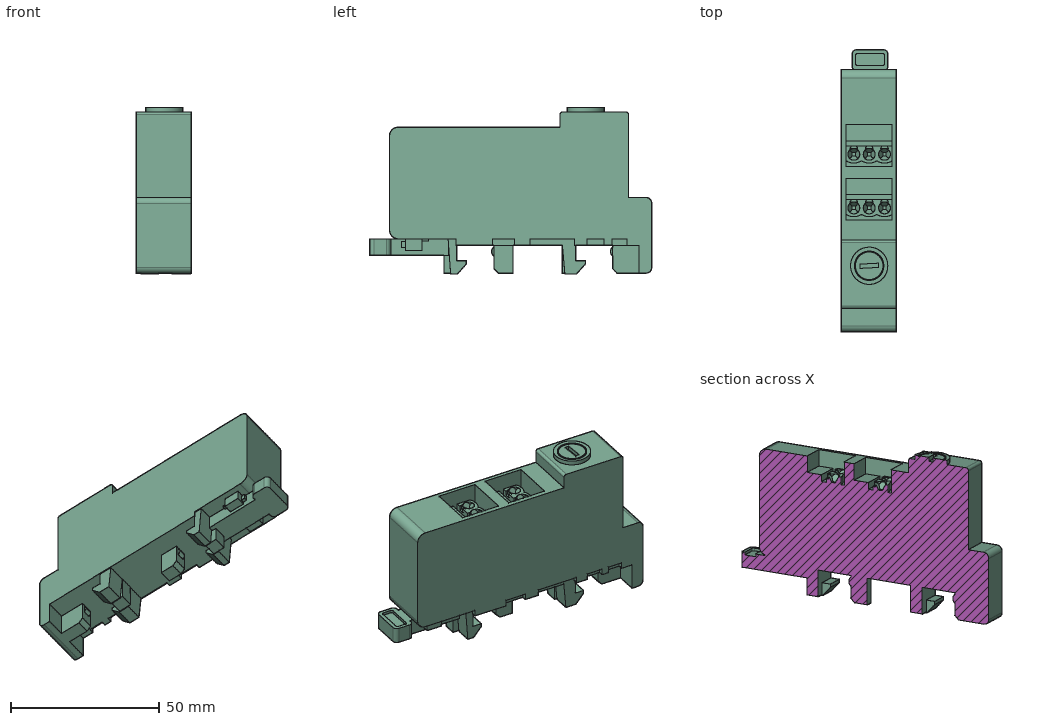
import cadquery as cq

WIDTH = 18.6
FRONT_Y = 7.8
STEP_Y = 31.0
BACK_Y = 88.5
FOOT_BOTTOM = 0.3
FOOT_THICKNESS = 4.3
FOOT_TOP = 25.9
RAIL_SEAT_Z = 9.7
RAIL_SEAT_BACK_Y = 66.1
TAIL_BOTTOM_Z = 11.9
TERMINAL_TOP = 49.6
FUSE_TOP = 54.7
BACK_RADIUS = 2.95
FOOT_RADIUS = 2.0
FUSE_RADIUS = 0.95

NOTCH_DEPTH = 1.6
NOTCH_SPANS = ((8.4, 13.5), (16.1, 21.9), (26.1, 41.1), (46.3, 53.8))

HOOK_INNER_X = 7.5
SUPPORT_END_X = 12.0
HOOK_END_X = 18.3
HOOK_SPANS = ((NOTCH_DEPTH, HOOK_INNER_X), (SUPPORT_END_X, HOOK_END_X))
HOOK_REACH = 3.2
HOOK_LEDGE_Z = 4.6
HOOK_NOSE_Z = 3.4
HOOK_LEAD_IN = 0.2
HOOK_BACK_TAPER = 0.9
REAR_HOOK_Y = 65.8
REAR_HOOK_THICKNESS = 2.1
FRONT_HOOK_Y = 25.6
FRONT_HOOK_THICKNESS = 3.7
REAR_STRIP_BACK_Y = 70.2
FRONT_STRIP_BACK_Y = 30.3
BLOCK_SPANS = ((FOOT_THICKNESS, 13.2), (46.8, 53.3))
BLOCK_CHAMFER = 1.5
BUMP_RADIUS = 1.9
BUMP_HEIGHT = 0.8
BUMP_Z = 7.6
BUMP_INSET = 0.95

LATCH_X = 9.7
LATCH_BOTTOM = 6.3
LATCH_BACK_Y = 95.2
LATCH_FRONT_Y = 68.5
HEAD_FRONT_Y = 88.1
HEAD_WIDTH = 12.1
HEAD_RADIUS = 1.5
ARM_WIDTH = 7.7
WINDOW_WIDTH = 9.8
WINDOW_SPAN_Y = (89.9, 93.9)
WINDOW_RADIUS = 0.6
WINDOW_DEPTH = 0.95
GUIDE_WIDTH = 13.8
GUIDE_SPAN_Y = (77.6, 83.1)
GUIDE_BOTTOM = 7.9
LUG_WIDTH = 10.0
REAR_LUG_END_Y = 84.4
REAR_LUG_SPAN_Z = (8.95, 11.0)
FRONT_LUG_END_Y = 75.3
FRONT_LUG_BOTTOM = 11.1

POCKET_X = 9.4
POCKET_WIDTH = 15.5
POCKET_LENGTH = 14.1
POCKET_BACK_YS = (51.8, 69.9)
LEDGE_Z = 43.8
LEDGE_LENGTH = 5.5
POCKET_FLOOR_Z = 41.4
SOCKET_TOP_Z = 44.1
SOCKET_BACK = 7.1
SOCKET_CUSP = 12.2
SCALLOP_SAG = 0.8
SOCKET_COUNT = 3
SOCKET_PITCH = POCKET_WIDTH / SOCKET_COUNT
FUNNEL_CENTER = 10.0
FUNNEL_RADIUS = 2.0
FUNNEL_BOTTOM_SIDE = 1.1
FUNNEL_DEPTH = 2.4
KEY_MOUTH_WIDTH = 1.7
KEY_INNER_WIDTH = 2.6
KEY_LENGTH = 0.9
KEY_DEPTH = 1.4

CAP_X = 9.4
CAP_Y = 22.3
CAP_RADIUS = 6.3
CAP_TOP = 56.3
GROOVE_OUTER_RADIUS = 4.95
GROOVE_WIDTH = 0.3
GROOVE_DEPTH = 0.3
SLOT_LENGTH = 6.3
SLOT_WIDTH = 1.4
SLOT_DEPTH = 1.4
SLOT_ANGLE = 3.0


def block(span_x, span_y, span_z):
    """Box filling the given X, Y and Z ranges."""
    (x0, x1), (y0, y1), (z0, z1) = span_x, span_y, span_z
    return cq.Workplane("XY").box(x1 - x0, y1 - y0, z1 - z0, centered=False).translate((x0, y0, z0))


def centered_span(center, size):
    return center - size / 2, center + size / 2


def side_profile(points, span_x):
    """Closed Y-Z outline extruded over an X range."""
    start_x, end_x = span_x
    return cq.Workplane("YZ", origin=(start_x, 0, 0)).polyline(points).close().extrude(end_x - start_x)


def round_edge(body, y, z, radius):
    """Fillet the edge running along X at the given Y and Z."""
    return body.edges(cq.selectors.NearestToPointSelector((WIDTH / 2, y, z))).fillet(radius)


def housing():
    body = side_profile(
        [
            (0, FOOT_BOTTOM), (FOOT_THICKNESS, FOOT_BOTTOM),
            (FOOT_THICKNESS, RAIL_SEAT_Z), (RAIL_SEAT_BACK_Y, RAIL_SEAT_Z),
            (RAIL_SEAT_BACK_Y, TAIL_BOTTOM_Z), (BACK_Y, TAIL_BOTTOM_Z),
            (BACK_Y, TERMINAL_TOP), (STEP_Y, TERMINAL_TOP),
            (STEP_Y, FUSE_TOP), (FRONT_Y, FUSE_TOP),
            (FRONT_Y, FOOT_TOP), (0, FOOT_TOP),
        ],
        (0, WIDTH),
    )
    rounded_edges = (
        (0, FOOT_BOTTOM, FOOT_RADIUS),
        (0, FOOT_TOP, FOOT_RADIUS),
        (FRONT_Y, FUSE_TOP, FUSE_RADIUS),
        (STEP_Y, FUSE_TOP, FUSE_RADIUS),
        (BACK_Y, TERMINAL_TOP, BACK_RADIUS),
        (BACK_Y, TAIL_BOTTOM_Z, BACK_RADIUS),
    )
    for y, z, radius in rounded_edges:
        body = round_edge(body, y, z, radius)
    for span_y in NOTCH_SPANS:
        body = body.cut(block((0, NOTCH_DEPTH), span_y, (RAIL_SEAT_Z, TAIL_BOTTOM_Z)))
    return body


def hook(front_y, thickness, root_z, span_x):
    """Rail hook with its nose toward -Y and a back face that narrows the stem downward."""
    return side_profile(
        [
            (front_y, root_z), (front_y, HOOK_LEDGE_Z),
            (front_y - HOOK_REACH, HOOK_LEDGE_Z), (front_y - HOOK_REACH, HOOK_NOSE_Z),
            (front_y - HOOK_LEAD_IN, 0), (front_y + thickness, 0),
            (front_y + thickness + HOOK_BACK_TAPER, root_z),
        ],
        span_x,
    )


def support_block(span_y):
    """Block between the hooks with a chamfered lower back edge and a round bump behind."""
    span_x = (HOOK_INNER_X, SUPPORT_END_X)
    back_y = span_y[1]
    body = block(span_x, span_y, (FOOT_BOTTOM, RAIL_SEAT_Z))
    body = body.edges("|X and <Z and >Y").chamfer(BLOCK_CHAMFER)
    bump = (
        cq.Workplane("YZ", origin=(HOOK_INNER_X + BUMP_INSET, back_y + BUMP_HEIGHT - BUMP_RADIUS, BUMP_Z))
        .circle(BUMP_RADIUS)
        .extrude(SUPPORT_END_X - HOOK_INNER_X - 2 * BUMP_INSET)
    )
    return body.union(bump)


def rail_mount():
    support_x = (HOOK_INNER_X, SUPPORT_END_X)
    body = block(support_x, (REAR_HOOK_Y, REAR_STRIP_BACK_Y), (FOOT_BOTTOM, TAIL_BOTTOM_Z))
    body = body.union(block(support_x, (FRONT_HOOK_Y, FRONT_STRIP_BACK_Y), (FOOT_BOTTOM, RAIL_SEAT_Z)))
    for span_x in HOOK_SPANS:
        body = body.union(hook(REAR_HOOK_Y, REAR_HOOK_THICKNESS, TAIL_BOTTOM_Z, span_x))
        body = body.union(hook(FRONT_HOOK_Y, FRONT_HOOK_THICKNESS, RAIL_SEAT_Z, span_x))
    for span_y in BLOCK_SPANS:
        body = body.union(support_block(span_y))
    return body


def latch():
    span_z = (LATCH_BOTTOM, TAIL_BOTTOM_Z)
    head = block(centered_span(LATCH_X, HEAD_WIDTH), (HEAD_FRONT_Y, LATCH_BACK_Y), span_z)
    head = head.edges("|Z").fillet(HEAD_RADIUS)
    window = block(
        centered_span(LATCH_X, WINDOW_WIDTH), WINDOW_SPAN_Y, (TAIL_BOTTOM_Z - WINDOW_DEPTH, TAIL_BOTTOM_Z)
    )
    head = head.cut(window.edges("|Z").fillet(WINDOW_RADIUS))
    arm = block(centered_span(LATCH_X, ARM_WIDTH), (LATCH_FRONT_Y, HEAD_FRONT_Y), span_z)
    guide = block(centered_span(LATCH_X, GUIDE_WIDTH), GUIDE_SPAN_Y, (GUIDE_BOTTOM, TAIL_BOTTOM_Z))
    lug_x = centered_span(LATCH_X, LUG_WIDTH)
    rear_lug = block(lug_x, (GUIDE_SPAN_Y[1], REAR_LUG_END_Y), REAR_LUG_SPAN_Z)
    front_lug = block(lug_x, (FRONT_LUG_END_Y, GUIDE_SPAN_Y[0]), (FRONT_LUG_BOTTOM, TAIL_BOTTOM_Z))
    return head.union(arm).union(guide).union(rear_lug).union(front_lug)


def socket_strip(back_wall_y):
    """Strip with a scalloped front edge, one scallop per wire socket."""
    left_x, right_x = centered_span(POCKET_X, POCKET_WIDTH)
    back_y = back_wall_y - SOCKET_BACK
    cusp_y = back_wall_y - SOCKET_CUSP
    outline = cq.Workplane("XY", origin=(0, 0, POCKET_FLOOR_Z)).moveTo(left_x, back_y).lineTo(left_x, cusp_y)
    for i in range(SOCKET_COUNT):
        start_x = left_x + i * SOCKET_PITCH
        outline = outline.threePointArc(
            (start_x + SOCKET_PITCH / 2, cusp_y - SCALLOP_SAG), (start_x + SOCKET_PITCH, cusp_y)
        )
    return outline.lineTo(right_x, back_y).close().extrude(SOCKET_TOP_Z - POCKET_FLOOR_Z)


def wire_socket(x, back_wall_y):
    """Cutter: four-sided funnel inside a round mouth, with a key slot to the strip's back edge."""
    center_y = back_wall_y - FUNNEL_CENTER
    back_y = back_wall_y - SOCKET_BACK
    bottom_z = SOCKET_TOP_Z - FUNNEL_DEPTH
    funnel = (
        cq.Workplane("XY", origin=(x, center_y, bottom_z))
        .rect(FUNNEL_BOTTOM_SIDE, FUNNEL_BOTTOM_SIDE)
        .workplane(offset=FUNNEL_DEPTH)
        .rect(2 * FUNNEL_RADIUS, 2 * FUNNEL_RADIUS)
        .loft(combine=True)
    )
    mouth = cq.Workplane("XY", origin=(x, center_y, bottom_z)).circle(FUNNEL_RADIUS).extrude(FUNNEL_DEPTH)
    key = (
        cq.Workplane("XY", origin=(x, back_y, SOCKET_TOP_Z))
        .polyline(
            [
                (-KEY_MOUTH_WIDTH / 2, 0), (KEY_MOUTH_WIDTH / 2, 0),
                (KEY_INNER_WIDTH / 2, -KEY_LENGTH), (-KEY_INNER_WIDTH / 2, -KEY_LENGTH),
            ]
        )
        .close()
        .extrude(-KEY_DEPTH)
    )
    return funnel.intersect(mouth).union(key)


def add_terminal(body, back_wall_y):
    """Sink a terminal pocket and build its ledge and socket strip."""
    span_x = centered_span(POCKET_X, POCKET_WIDTH)
    ledge_y = back_wall_y - LEDGE_LENGTH
    body = body.cut(block(span_x, (back_wall_y - POCKET_LENGTH, back_wall_y), (POCKET_FLOOR_Z, TERMINAL_TOP)))
    body = body.union(block(span_x, (ledge_y, back_wall_y), (POCKET_FLOOR_Z, LEDGE_Z)))
    body = body.union(socket_strip(back_wall_y))
    for i in range(SOCKET_COUNT):
        body = body.cut(wire_socket(span_x[0] + (i + 0.5) * SOCKET_PITCH, back_wall_y))
    return body


def fuse_cap():
    cap = cq.Workplane("XY", origin=(CAP_X, CAP_Y, FUSE_TOP)).circle(CAP_RADIUS).extrude(CAP_TOP - FUSE_TOP)
    top = cq.Workplane("XY", origin=(CAP_X, CAP_Y, CAP_TOP))
    groove = top.circle(GROOVE_OUTER_RADIUS).circle(GROOVE_OUTER_RADIUS - GROOVE_WIDTH).extrude(-GROOVE_DEPTH)
    slot = top.transformed(rotate=(0, 0, SLOT_ANGLE)).rect(SLOT_LENGTH, SLOT_WIDTH).extrude(-SLOT_DEPTH)
    return cap.cut(groove).cut(slot)


result = housing()
for pocket_back_y in POCKET_BACK_YS:
    result = add_terminal(result, pocket_back_y)
result = result.union(rail_mount()).union(latch()).union(fuse_cap())